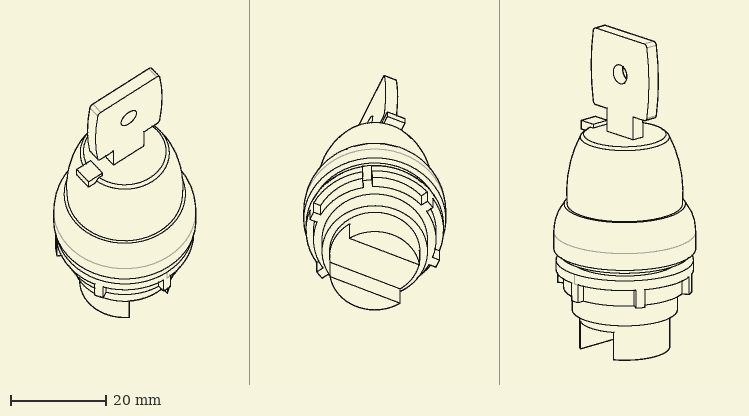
import cadquery as cq

foot_radius = 9.5
body_radius = 11.1
body_bottom = 8.1
collar_radius = 13.7
collar_bottom = 20.6
ring_radius = 14.95
ring_bottom = 21.65
ring_top = 25.35
shoulder_radius = 12.75
shoulder_top = 31.5
shoulder_mid = (14.25, 28.95)
knob_base_radius = 12.1
knob_mid = (11.8, 39.15)
knob_rim_radius = 9.4
knob_rim_height = 46.3
knob_face_radius = 8.7
knob_top = 46.9

slot_width = 10.1
slot_height = 6.05

nut_bottom = 13.1
flange_bottom = 17.0
flange_top = 19.15
flange_radius = 14.5
nut_radius = 12.9
tab_count = 6
tab_width = 1.9
keyed_tab_angle = 240
keyed_tab_reach = 14.55

lug_width = 4.05
lug_inner = 7.5
lug_outer = 11.2
lug_bottom = 45.8
lug_top = 47.75

overall_height = 68.9
key_thickness = 2.75
key_head_height = 16.95
key_head_width = 17.8
key_head_end_width = 16.25
key_corner_radius = 0.8
key_stem_width = 8.1
key_hole_diameter = 4.1


def cylinder(radius, bottom, top):
    return cq.Workplane("XY").workplane(offset=bottom).circle(radius).extrude(top - bottom)


def make_body():
    """Foot, threaded body, collar, bulging ring and knob, revolved about Z."""
    return (
        cq.Workplane("XZ")
        .lineTo(foot_radius, 0)
        .lineTo(foot_radius, body_bottom)
        .lineTo(body_radius, body_bottom)
        .lineTo(body_radius, collar_bottom)
        .lineTo(collar_radius, collar_bottom)
        .lineTo(collar_radius, ring_bottom)
        .lineTo(ring_radius, ring_bottom)
        .lineTo(ring_radius, ring_top)
        .threePointArc(shoulder_mid, (shoulder_radius, shoulder_top))
        .lineTo(knob_base_radius, shoulder_top)
        .threePointArc(knob_mid, (knob_rim_radius, knob_rim_height))
        .lineTo(knob_face_radius, knob_top)
        .lineTo(0, knob_top)
        .close()
        .revolve(360, (0, 0, 0), (0, 1, 0))
    )


def make_foot_slot():
    return cq.Workplane("XY").box(2 * ring_radius, slot_width, slot_height, centered=(True, True, False))


def make_nut():
    """Flange and ring, with the tabs trimmed to the flange radius."""
    tab_height = flange_bottom - nut_bottom
    tabs = cq.Workplane("XY")
    for index in range(tab_count):
        tab = (
            cq.Workplane("XY")
            .box(ring_radius, tab_width, tab_height, centered=(False, True, False))
            .translate((0, 0, nut_bottom))
            .rotate((0, 0, 0), (0, 0, 1), index * 360 / tab_count)
        )
        tabs = tabs.add(tab)
    tabs = tabs.combine().intersect(cylinder(flange_radius, nut_bottom, flange_bottom))
    ring = cylinder(nut_radius, nut_bottom, flange_bottom)
    flange = cylinder(flange_radius, flange_bottom, flange_top)
    keyed_tab = (
        cq.Workplane("XY")
        .box(keyed_tab_reach, tab_width, flange_top - nut_bottom, centered=(False, True, False))
        .translate((0, 0, nut_bottom))
        .rotate((0, 0, 0), (0, 0, 1), keyed_tab_angle)
    )
    return ring.union(tabs).union(flange).union(keyed_tab)


def make_lug():
    return (
        cq.Workplane("XY")
        .box(lug_width, lug_outer - lug_inner, lug_top - lug_bottom, centered=(True, False, False))
        .translate((0, -lug_outer, lug_bottom))
    )


def make_key():
    """Flat key with bowed sides, standing in the YZ plane on the knob face."""
    head_bottom = overall_height - key_head_height
    head_middle = overall_height - key_head_height / 2
    end_half = key_head_end_width / 2
    head = (
        cq.Workplane("YZ")
        .moveTo(-end_half, head_bottom)
        .lineTo(end_half, head_bottom)
        .threePointArc((key_head_width / 2, head_middle), (end_half, overall_height))
        .lineTo(-end_half, overall_height)
        .threePointArc((-key_head_width / 2, head_middle), (-end_half, head_bottom))
        .close()
        .extrude(key_thickness / 2, both=True)
        .edges("|X")
        .fillet(key_corner_radius)
    )
    hole = (
        cq.Workplane("YZ")
        .center(0, head_middle)
        .circle(key_hole_diameter / 2)
        .extrude(key_thickness, both=True)
    )
    stem_top = head_middle - key_hole_diameter / 2
    stem = (
        cq.Workplane("XY")
        .box(key_thickness, key_stem_width, stem_top - lug_bottom, centered=(True, True, False))
        .translate((0, 0, lug_bottom))
    )
    return head.union(stem).cut(hole)


result = make_body().cut(make_foot_slot()).union(make_nut()).union(make_lug()).union(make_key())